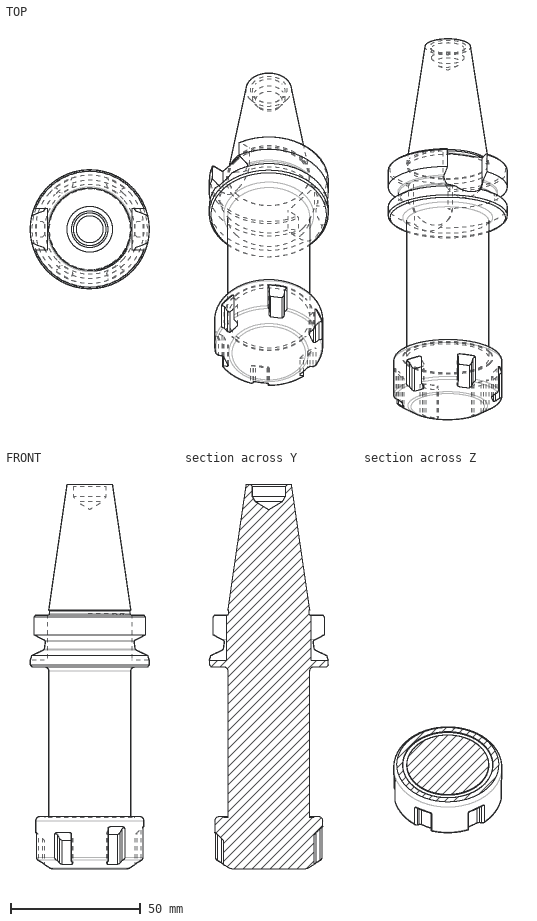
import cadquery as cq
import math

total_height = 148.4

gauge_z = 100.0
gauge_radius = 15.9
taper_end_radius = gauge_radius - (total_height - gauge_z) * 7 / 48

flange_top_z = 98.0
relief_radius = 15.6
relief_bevel = 0.5
relief_fillet = 0.7

flange_radius = 23.0
flange_bottom_z = 77.9
flange_top_chamfer = 0.6
flange_bottom_chamfer = 0.7
groove_middle_z = 86.4
groove_radius = 19.0
groove_floor_width = 3.4
groove_mouth_width = 8.0
groove_fillet = 0.6

drive_slot_width = 16.2
drive_slot_bottom_z = 80.6
drive_slot_floor_x = 16.3

shank_radius = 15.9
shank_fillet = 1.5

nut_radius = 20.9
nut_top_z = 20.3
nut_top_fillet = 1.8
nut_face_radius = 14.8
nut_cone_height = 3.9
nut_cone_fillet = 1.2
nut_face_fillet = 2.2
nut_recess_radius = 17.4
nut_recess_depth = 0.5

wrench_slot_count = 6
wrench_slot_width = 6.0
wrench_slot_floor_radius = 17.5
wrench_slot_floor_bevel = 0.67
wrench_slot_mouth_width = 7.5
wrench_slot_mouth_depth = 0.9
wrench_slot_corner = 1.0
short_slot_top_z = 14.1
tall_slot_top_z = 16.3

bore_radius = 6.3
bore_depth = 4.6
bore_chamfer = 0.7
neck_radius = 5.2
neck_depth = 6.5
drill_tip_angle = 118


def turned_body():
    """Revolve the taper, flange and shank; the shank ends halfway down inside the nut."""
    groove_mouth_top = groove_middle_z + groove_mouth_width / 2
    groove_mouth_bottom = groove_middle_z - groove_mouth_width / 2
    groove_floor_top = groove_middle_z + groove_floor_width / 2
    groove_floor_bottom = groove_middle_z - groove_floor_width / 2
    fillet_end_z = flange_bottom_z - shank_fillet
    profile = (
        cq.Workplane("XZ")
        .moveTo(0, total_height)
        .lineTo(taper_end_radius, total_height)
        .lineTo(gauge_radius, gauge_z)
        .lineTo(relief_radius, gauge_z - relief_bevel)
        .lineTo(relief_radius, flange_top_z + relief_fillet)
        .radiusArc((relief_radius + relief_fillet, flange_top_z), -relief_fillet)
        .lineTo(flange_radius - flange_top_chamfer, flange_top_z)
        .lineTo(flange_radius, flange_top_z - flange_top_chamfer)
        .lineTo(flange_radius, groove_mouth_top)
        .lineTo(groove_radius, groove_floor_top)
        .lineTo(groove_radius, groove_floor_bottom)
        .lineTo(flange_radius, groove_mouth_bottom)
        .lineTo(flange_radius, flange_bottom_z + flange_bottom_chamfer)
        .lineTo(flange_radius - flange_bottom_chamfer, flange_bottom_z)
        .lineTo(shank_radius + shank_fillet, flange_bottom_z)
        .radiusArc((shank_radius, fillet_end_z), -shank_fillet)
        .lineTo(shank_radius, nut_top_z / 2)
        .lineTo(0, nut_top_z / 2)
        .close()
    )
    body = profile.revolve(360, (0, 0, 0), (0, 1, 0))
    groove_corners = cq.selectors.BoxSelector(
        (-flange_radius, -flange_radius, (groove_mouth_bottom + groove_floor_bottom) / 2),
        (flange_radius, flange_radius, (groove_mouth_top + groove_floor_top) / 2),
    )
    return body.edges("%CIRCLE").edges(groove_corners).fillet(groove_fillet)


def drive_slot(side):
    """Round-bottomed slot cut into the flange; side is +1 or -1 along X."""
    half_width = drive_slot_width / 2
    arc_center_z = drive_slot_bottom_z + half_width
    return (
        cq.Workplane("YZ", origin=(side * drive_slot_floor_x, 0, 0))
        .moveTo(-half_width, flange_top_z)
        .lineTo(-half_width, arc_center_z)
        .threePointArc((0, drive_slot_bottom_z), (half_width, arc_center_z))
        .lineTo(half_width, flange_top_z)
        .close()
        .extrude(side * flange_radius)
    )


def nut_blank():
    """Nut with a conical front, rounded edges and a shallow recess around the shank."""
    blank = (
        cq.Workplane("XZ")
        .moveTo(0, 0)
        .lineTo(nut_face_radius, 0)
        .lineTo(nut_radius, nut_cone_height)
        .lineTo(nut_radius, nut_top_z)
        .lineTo(0, nut_top_z)
        .close()
        .revolve(360, (0, 0, 0), (0, 1, 0))
    )
    blank = blank.edges(">Z").fillet(nut_top_fillet)
    blank = blank.edges("<Z").fillet(nut_face_fillet)
    cone_edge = cq.selectors.BoxSelector(
        (-2 * nut_radius, -2 * nut_radius, nut_cone_height / 2),
        (2 * nut_radius, 2 * nut_radius, nut_cone_height * 3 / 2),
    )
    blank = blank.edges("%CIRCLE").edges(cone_edge).fillet(nut_cone_fillet)
    recess = (
        cq.Workplane("XY", origin=(0, 0, nut_top_z))
        .circle(nut_recess_radius)
        .extrude(-nut_recess_depth)
    )
    return blank.cut(recess)


def wrench_slot(top_z):
    """Cutter for one wrench slot on the +X side: bevelled walls and a 45 degree top."""
    half_width = wrench_slot_width / 2
    half_mouth = wrench_slot_mouth_width / 2
    half_floor = half_width - wrench_slot_floor_bevel
    bevel_radius = wrench_slot_floor_radius + wrench_slot_floor_bevel
    mouth_radius = math.sqrt(nut_radius**2 - half_mouth**2)
    outer_radius = nut_radius + wrench_slot_corner

    plan = (
        cq.Workplane("XY")
        .polyline([
            (wrench_slot_floor_radius, half_floor),
            (bevel_radius, half_width),
            (mouth_radius - wrench_slot_mouth_depth, half_width),
            (mouth_radius, half_mouth),
            (outer_radius, half_mouth),
            (outer_radius, -half_mouth),
            (mouth_radius, -half_mouth),
            (mouth_radius - wrench_slot_mouth_depth, -half_width),
            (bevel_radius, -half_width),
            (wrench_slot_floor_radius, -half_floor),
        ])
        .close()
        .extrude(nut_top_z)
    )
    slope_drop = mouth_radius - wrench_slot_floor_radius
    sloped_top = (
        cq.Workplane("XZ")
        .polyline([
            (wrench_slot_floor_radius, 0),
            (wrench_slot_floor_radius, top_z - slope_drop),
            (mouth_radius, top_z),
            (outer_radius, top_z),
            (outer_radius, 0),
        ])
        .close()
        .extrude(half_mouth, both=True)
    )
    rounded_outline = (
        cq.Workplane("XY")
        .box(outer_radius, wrench_slot_mouth_width, top_z, centered=(False, True, False))
        .edges("|X and >Z")
        .fillet(wrench_slot_corner)
    )
    return plan.intersect(sloped_top).intersect(rounded_outline)


def pull_stud_bore():
    """Blind bore with a chamfered mouth, a tapered neck and a drill point."""
    drill_tip_length = neck_radius / math.tan(math.radians(drill_tip_angle / 2))
    return (
        cq.Workplane("XZ", origin=(0, 0, total_height))
        .polyline([
            (0, 0),
            (bore_radius + bore_chamfer, 0),
            (bore_radius, -bore_chamfer),
            (bore_radius, -bore_depth),
            (neck_radius, -neck_depth),
            (0, -neck_depth - drill_tip_length),
        ])
        .close()
        .revolve(360, (0, 0, 0), (0, 1, 0))
    )


nut = nut_blank()
for index in range(wrench_slot_count):
    angle = index * 360 / wrench_slot_count
    on_tall_side = math.cos(math.radians(angle)) > 0
    slot_top_z = tall_slot_top_z if on_tall_side else short_slot_top_z
    nut = nut.cut(wrench_slot(slot_top_z).rotate((0, 0, 0), (0, 0, 1), angle))

body = turned_body()
for side in (1, -1):
    body = body.cut(drive_slot(side))
body = body.cut(pull_stud_bore())

result = body.union(nut)